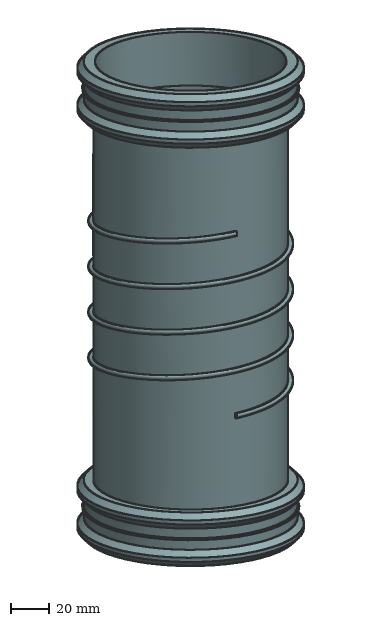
import cadquery as cq

total_length = 258.8
bore_diameter = 100.0
pipe_diameter = 101.8

flange_diameter = 118.4
groove_diameter = 111.8
coupling_length = 29.4
flange_land = 2.3
ridge_height = 0.8
ridge_width = 1.1

rib_pitch = 25.0
rib_turns = 4
rib_diameter = 107.0
rib_wire_radius = 1.35

bore_radius = bore_diameter / 2
pipe_radius = pipe_diameter / 2
flange_radius = flange_diameter / 2
groove_radius = groove_diameter / 2
rib_centre_radius = rib_diameter / 2 - rib_wire_radius
bevel = flange_radius - groove_radius
flange_width = flange_land + 2 * bevel
pipe_length = total_length - 2 * coupling_length
rib_length = rib_pitch * rib_turns


def make_pipe():
    """Thin-walled pipe centred on the origin, with a right-handed helical rib fused to its outside."""
    tube = (
        cq.Workplane("XY")
        .workplane(offset=-pipe_length / 2)
        .circle(pipe_radius)
        .circle(bore_radius)
        .extrude(pipe_length)
    )
    path = cq.Wire.makeHelix(rib_pitch, rib_length, rib_centre_radius)
    rib = (
        cq.Workplane("XZ")
        .center(rib_centre_radius, 0)
        .circle(rib_wire_radius)
        .sweep(cq.Workplane(path), isFrenet=True)
        .translate((0, 0, -rib_length / 2))
    )
    return tube.union(rib).solids()


def make_flange(bottom):
    """Ring with a 45 degree bevel on both sides of its narrow outer land."""
    return (
        cq.Workplane("XZ")
        .moveTo(bore_radius, bottom)
        .lineTo(groove_radius, bottom)
        .lineTo(flange_radius, bottom + bevel)
        .lineTo(flange_radius, bottom + bevel + flange_land)
        .lineTo(groove_radius, bottom + flange_width)
        .lineTo(bore_radius, bottom + flange_width)
        .close()
        .revolve(360, (0, 0, 0), (0, 1, 0))
    )


def make_ridge(middle):
    """Ring with a small V-shaped ridge pointing outwards from the groove floor."""
    return (
        cq.Workplane("XZ")
        .moveTo(bore_radius, middle - ridge_width / 2)
        .lineTo(groove_radius, middle - ridge_width / 2)
        .lineTo(groove_radius + ridge_height, middle)
        .lineTo(groove_radius, middle + ridge_width / 2)
        .lineTo(bore_radius, middle + ridge_width / 2)
        .close()
        .revolve(360, (0, 0, 0), (0, 1, 0))
    )


def make_coupling(bottom):
    """Sleeve with a bevelled flange at each end and a small ridge halfway along the groove between them."""
    sleeve = (
        cq.Workplane("XY")
        .workplane(offset=bottom)
        .circle(groove_radius)
        .circle(bore_radius)
        .extrude(coupling_length)
    )
    lower_flange = make_flange(bottom)
    upper_flange = make_flange(bottom + coupling_length - flange_width)
    ridge = make_ridge(bottom + coupling_length / 2)
    return sleeve.union(lower_flange).union(upper_flange).union(ridge).solids()


pipe = make_pipe()
couplings = [make_coupling(bottom) for bottom in (-total_length / 2, pipe_length / 2)]

result = cq.Compound.makeCompound([pipe.val(), *[coupling.val() for coupling in couplings]])